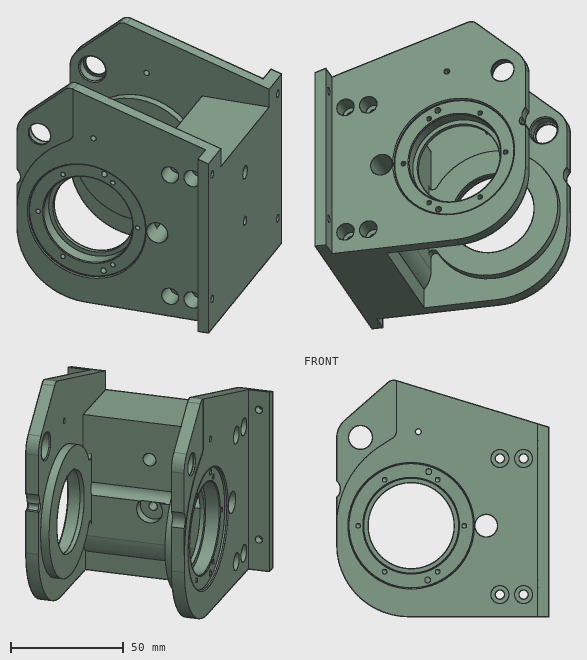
import cadquery as cq
import math

LENGTH = 94.0
HEIGHT = 104.8
INNER_WIDTH = 62.0
PLATE_THICKNESS = 6.0
INNER_Y = INNER_WIDTH / 2
OUTER_Y = INNER_Y + PLATE_THICKNESS
OVERCUT = 1.0

BOTTOM_CORNER_RADIUS = 32.0
NOSE_RADIUS = 10.5
PEAK_RADIUS = 4.0
NOSE_SLOPE = math.radians(41.2)
TOP_SLOPE = math.radians(17.0)
PEAK_CENTER_X = 25.4
PEAK_CENTER_Z = HEIGHT - PEAK_RADIUS
NOSE_LINE_Z = PEAK_CENTER_Z + PEAK_RADIUS / math.cos(NOSE_SLOPE)
TOP_LINE_Z = PEAK_CENTER_Z + PEAK_RADIUS / math.cos(TOP_SLOPE)
NOSE_CORNER_Z = NOSE_LINE_Z - PEAK_CENTER_X * math.tan(NOSE_SLOPE)
REAR_TOP_Z = TOP_LINE_Z - (LENGTH - PEAK_CENTER_X) * math.tan(TOP_SLOPE)
PEAK_OFFSET = (NOSE_LINE_Z - TOP_LINE_Z) / (math.tan(NOSE_SLOPE) + math.tan(TOP_SLOPE))
PEAK_X = PEAK_CENTER_X - PEAK_OFFSET
PEAK_Z = TOP_LINE_Z + PEAK_OFFSET * math.tan(TOP_SLOPE)

FLANGE_THICKNESS = 5.0
FLANGE_HOLE_DIAMETER = 3.4
FLANGE_HOLE_Y = 42.1
FLANGE_HOLE_Z = (14.7, 76.5)

BEARING_X = 33.0
BEARING_Z = 40.3
BOSS_DIAMETER = 59.9
BOSS_HEIGHT = 4.0
BOSS_FILLET = 2.0
BORE_DIAMETER = 38.0
SEAT_DIAMETER = 42.0
SEAT_CHAMFER = 0.4
LIP_THICKNESS = 2.0
RECESS_DIAMETER = 55.0
RECESS_DEPTH = 1.5
RECESS_CHAMFER = 0.5
SCREW_COUNT = 6
SCREW_CIRCLE_RADIUS = 23.5
SCREW_DIAMETER = 2.1
PIN_CIRCLE_RADIUS = 25.2
PIN_ANGLES = (72.0, -73.0)
PIN_DIAMETER = 2.6
BLIND_HOLE_DEPTH = 6.0
DRILL_TIP_HALF_ANGLE = math.radians(59.0)

PAD_HEIGHT = 0.2
PAD_EDGE_X = 26.5
PAD_CORNER_Z = 80.2
PAD_CORNER_RADIUS = 4.0
PAD_ARC_RADIUS = 41.9

NOSE_HOLE = (10.6, 79.4)
NOSE_HOLE_DIAMETER = 10.5
NOSE_SEAT_DIAMETER = 12.0
NOSE_SEAT_CHAMFER = 0.5
NOSE_LIP_THICKNESS = 1.0
SMALL_HOLE = (36.2, 82.0)
SMALL_HOLE_DIAMETER = 2.5
NOTCH = (-3.4, 56.6)
NOTCH_DIAMETER = 10.0
SIDE_NOTCH = (0.7, 54.0)
SIDE_NOTCH_DIAMETER = 3.0
SIDE_NOTCH_CHAMFER = 0.6

BLOCK_FRONT_X = 62.4
BLOCK_TOP_Z = 75.1
BLOCK_FOOT_X = 65.6
BLOCK_FOOT_Z = 8.9
BLOCK_ROUND_TOP_Z = 17.7
SHAFT_HOLE = (66.2, BEARING_Z)
SHAFT_HOLE_DIAMETER = 10.0
SIDE_BOLT_X = (72.3, 82.8)
SIDE_BOLT_Z = (9.9, 70.1)
SIDE_BOLT_DIAMETER = 4.0
SIDE_BOLT_HEAD_DIAMETER = 8.0
SIDE_BOLT_HEAD_DEPTH = 10.0
UPPER_HOLE_Z = 57.5
UPPER_HOLE_DIAMETER = 6.0
LOWER_HOLE_Z = 33.4
LOWER_HOLE_DIAMETER = 4.0
LOWER_HEAD_DIAMETER = 12.0
LOWER_HEAD_DEPTH = 5.0


def outline_at(y):
    """Sketch plane of the side outlines at a given Y; extruding goes toward -Y."""
    return cq.Workplane("XZ", origin=(0, y, 0))


def y_cylinder(center, diameter, y_start, y_end):
    """Cylinder along Y at an (x, z) center, between two Y positions."""
    low, high = sorted((y_start, y_end))
    return outline_at(high).center(*center).circle(diameter / 2).extrude(high - low)


def y_cone(center, diameter_start, diameter_end, y_start, y_end):
    """Truncated cone along Y at an (x, z) center."""
    x, z = center
    height = abs(y_end - y_start)
    direction = cq.Vector(0, math.copysign(1, y_end - y_start), 0)
    cone = cq.Solid.makeCone(
        diameter_start / 2, diameter_end / 2, height, cq.Vector(x, y_start, z), direction
    )
    return cq.Workplane(obj=cone)


def x_cylinder(y, z, diameter, x_start, x_end):
    """Cylinder along X at a (y, z) center."""
    return (
        cq.Workplane("YZ", origin=(x_start, y, z)).circle(diameter / 2).extrude(x_end - x_start)
    )


def plate_prism(y_outer, y_inner):
    """Full side plate outline between two Y positions, with its rounded corners."""
    low, high = sorted((y_outer, y_inner))
    corners = [(0, 0), (LENGTH, 0), (LENGTH, REAR_TOP_Z), (PEAK_X, PEAK_Z), (0, NOSE_CORNER_Z)]
    prism = outline_at(high).polyline(corners).close().extrude(high - low)
    rounded_corners = (
        (0, 0, BOTTOM_CORNER_RADIUS),
        (PEAK_X, PEAK_Z, PEAK_RADIUS),
        (0, NOSE_CORNER_Z, NOSE_RADIUS),
    )
    for x, z, radius in rounded_corners:
        prism = prism.edges(cq.NearestToPointSelector((x, (low + high) / 2, z))).fillet(radius)
    return prism


def flange(side):
    """Rear flange outside one plate, keeping the sloped top of the plate."""
    y_tip = side * LENGTH / 2
    thick = cq.Workplane("XY").box(FLANGE_THICKNESS, LENGTH, HEIGHT, centered=(False, True, False))
    thick = thick.translate((LENGTH - FLANGE_THICKNESS, 0, 0))
    return plate_prism(y_tip, side * INNER_Y).intersect(thick)


def block():
    """Rear block: flat front, rounded at the bottom down to a set-back foot."""
    drop = BLOCK_ROUND_TOP_Z - BLOCK_FOOT_Z
    setback = BLOCK_FOOT_X - BLOCK_FRONT_X
    radius = (drop**2 + setback**2) / (2 * setback)
    half_angle = math.asin(drop / radius) / 2
    arc_middle = (
        BLOCK_FRONT_X + radius * (1 - math.cos(half_angle)),
        BLOCK_ROUND_TOP_Z - radius * math.sin(half_angle),
    )
    return (
        outline_at(INNER_Y)
        .moveTo(BLOCK_FOOT_X, 0)
        .lineTo(LENGTH, 0)
        .lineTo(LENGTH, BLOCK_TOP_Z)
        .lineTo(BLOCK_FRONT_X, BLOCK_TOP_Z)
        .lineTo(BLOCK_FRONT_X, BLOCK_ROUND_TOP_Z)
        .threePointArc(arc_middle, (BLOCK_FOOT_X, BLOCK_FOOT_Z))
        .close()
        .extrude(INNER_WIDTH)
    )


def boss(side):
    """Round bearing boss inside one plate, blended into the front of the block above and below."""
    boss_y = side * (INNER_Y - BOSS_HEIGHT)
    plate_y = side * INNER_Y
    fillet_x = BLOCK_FRONT_X - BOSS_FILLET
    center_distance = BOSS_DIAMETER / 2 + BOSS_FILLET
    fillet_rise = math.sqrt(center_distance**2 - (fillet_x - BEARING_X) ** 2)
    web = (
        outline_at(max(boss_y, plate_y))
        .moveTo(BEARING_X, BEARING_Z)
        .lineTo(fillet_x, BEARING_Z + fillet_rise)
        .lineTo(BLOCK_FRONT_X, BEARING_Z + fillet_rise)
        .lineTo(BLOCK_FRONT_X, BEARING_Z - fillet_rise)
        .lineTo(fillet_x, BEARING_Z - fillet_rise)
        .close()
        .extrude(BOSS_HEIGHT)
    )
    for rise in (fillet_rise, -fillet_rise):
        center = (fillet_x, BEARING_Z + rise)
        web = web.cut(y_cylinder(center, 2 * BOSS_FILLET, boss_y, plate_y))
    return web.union(y_cylinder((BEARING_X, BEARING_Z), BOSS_DIAMETER, boss_y, plate_y))


def pad():
    """Thin raised pad covering the -Y plate except its nose."""
    dx = PAD_EDGE_X - PAD_ARC_RADIUS
    dz = PAD_CORNER_Z - BEARING_Z
    tangent_angle = math.atan2(dz, dx) + math.acos(PAD_ARC_RADIUS / math.hypot(dx, dz))
    middle_angle = (tangent_angle + math.pi) / 2

    def on_arc(angle):
        return (
            PAD_ARC_RADIUS * (1 + math.cos(angle)),
            BEARING_Z + PAD_ARC_RADIUS * math.sin(angle),
        )

    region = (
        outline_at(-OUTER_Y)
        .moveTo(0, 0)
        .lineTo(LENGTH, 0)
        .lineTo(LENGTH, HEIGHT)
        .lineTo(PAD_EDGE_X, HEIGHT)
        .lineTo(PAD_EDGE_X, PAD_CORNER_Z)
        .lineTo(*on_arc(tangent_angle))
        .threePointArc(on_arc(middle_angle), (0, BEARING_Z))
        .close()
        .extrude(PAD_HEIGHT)
        .edges(cq.NearestToPointSelector((PAD_EDGE_X, -OUTER_Y - PAD_HEIGHT / 2, PAD_CORNER_Z)))
        .fillet(PAD_CORNER_RADIUS)
    )
    return region.intersect(plate_prism(-OUTER_Y - PAD_HEIGHT, -OUTER_Y))


def around_bearing(radius, angle):
    """(x, z) point at a polar position, in degrees, around the bearing axis."""
    return (
        BEARING_X + radius * math.cos(math.radians(angle)),
        BEARING_Z + radius * math.sin(math.radians(angle)),
    )


def cut_bearing_seat(body, side, face_y):
    """Bore, bearing seat, cover recess and their small holes, entered from the outer face."""
    axis = (BEARING_X, BEARING_Z)
    boss_y = side * (INNER_Y - BOSS_HEIGHT)
    lip_y = boss_y + side * LIP_THICKNESS
    recess_y = face_y - side * RECESS_DEPTH

    body = body.cut(y_cylinder(axis, BORE_DIAMETER, boss_y, face_y))
    body = body.cut(y_cylinder(axis, SEAT_DIAMETER, lip_y, face_y))
    body = body.cut(y_cylinder(axis, RECESS_DIAMETER, recess_y, face_y))
    chamfers = (
        (SEAT_DIAMETER, SEAT_CHAMFER, recess_y),
        (RECESS_DIAMETER, RECESS_CHAMFER, face_y),
    )
    for diameter, size, y in chamfers:
        body = body.cut(y_cone(axis, diameter + 2 * size, diameter, y, y - side * size))

    floor_y = recess_y - side * BLIND_HOLE_DEPTH
    tip_length = SCREW_DIAMETER / 2 / math.tan(DRILL_TIP_HALF_ANGLE)
    for index in range(SCREW_COUNT):
        center = around_bearing(SCREW_CIRCLE_RADIUS, index * 360 / SCREW_COUNT)
        body = body.cut(y_cylinder(center, SCREW_DIAMETER, floor_y, recess_y))
        body = body.cut(y_cone(center, SCREW_DIAMETER, 0, floor_y, floor_y - side * tip_length))
    for angle in PIN_ANGLES:
        center = around_bearing(PIN_CIRCLE_RADIUS, angle)
        body = body.cut(y_cylinder(center, PIN_DIAMETER, floor_y, recess_y))
    return body


def cut_through_holes(body):
    """Holes and notches that pass along Y through both plates."""
    through = (
        (NOSE_HOLE, NOSE_HOLE_DIAMETER),
        (SMALL_HOLE, SMALL_HOLE_DIAMETER),
        (NOTCH, NOTCH_DIAMETER),
        (SHAFT_HOLE, SHAFT_HOLE_DIAMETER),
    )
    for center, diameter in through:
        body = body.cut(y_cylinder(center, diameter, -LENGTH / 2, LENGTH / 2))
    return body


def cut_nose_seats(body):
    """Wider seat of the nose hole, entered from the inner face of each plate."""
    wide = NOSE_SEAT_DIAMETER + 2 * NOSE_SEAT_CHAMFER
    for side in (-1, 1):
        inner_y = side * INNER_Y
        lip_y = side * (OUTER_Y - NOSE_LIP_THICKNESS)
        chamfer_y = inner_y + side * NOSE_SEAT_CHAMFER
        body = body.cut(y_cylinder(NOSE_HOLE, NOSE_SEAT_DIAMETER, inner_y, lip_y))
        body = body.cut(y_cone(NOSE_HOLE, wide, NOSE_SEAT_DIAMETER, inner_y, chamfer_y))
    return body


def cut_side_notch(body):
    """Second, smaller notch in the +Y plate, chamfered at its lower mouth and both plate faces."""
    wide = SIDE_NOTCH_DIAMETER + 2 * SIDE_NOTCH_CHAMFER
    body = body.cut(y_cylinder(SIDE_NOTCH, SIDE_NOTCH_DIAMETER, INNER_Y, OUTER_Y))
    mouth_drop = math.sqrt((SIDE_NOTCH_DIAMETER / 2) ** 2 - SIDE_NOTCH[0] ** 2)
    mouth_edge = (0, (INNER_Y + OUTER_Y) / 2, SIDE_NOTCH[1] - mouth_drop)
    body = body.edges(cq.NearestToPointSelector(mouth_edge)).chamfer(SIDE_NOTCH_CHAMFER)
    for y, inward in ((INNER_Y, 1), (OUTER_Y, -1)):
        y_end = y + inward * SIDE_NOTCH_CHAMFER
        body = body.cut(y_cone(SIDE_NOTCH, wide, SIDE_NOTCH_DIAMETER, y, y_end))
    return body


def cut_side_bolts(body):
    """Bolt holes along Y through the plates and block, counterbored from both outer faces."""
    face_y = OUTER_Y + PAD_HEIGHT
    for x in SIDE_BOLT_X:
        for z in SIDE_BOLT_Z:
            body = body.cut(y_cylinder((x, z), SIDE_BOLT_DIAMETER, -face_y, face_y))
            for side in (-1, 1):
                floor_y = side * (OUTER_Y - SIDE_BOLT_HEAD_DEPTH)
                body = body.cut(
                    y_cylinder((x, z), SIDE_BOLT_HEAD_DIAMETER, floor_y, side * face_y)
                )
    return body


def cut_rear_holes(body):
    """Holes along X through the flanges and the block."""
    flange_x = LENGTH - FLANGE_THICKNESS - OVERCUT
    rear_x = LENGTH + OVERCUT
    for side in (-1, 1):
        for z in FLANGE_HOLE_Z:
            body = body.cut(
                x_cylinder(side * FLANGE_HOLE_Y, z, FLANGE_HOLE_DIAMETER, flange_x, rear_x)
            )
    front_x = BLOCK_FRONT_X - OVERCUT
    head_x = BLOCK_FRONT_X + LOWER_HEAD_DEPTH
    body = body.cut(x_cylinder(0, UPPER_HOLE_Z, UPPER_HOLE_DIAMETER, front_x, rear_x))
    body = body.cut(x_cylinder(0, LOWER_HOLE_Z, LOWER_HOLE_DIAMETER, front_x, rear_x))
    return body.cut(x_cylinder(0, LOWER_HOLE_Z, LOWER_HEAD_DIAMETER, front_x, head_x))


part = block().union(pad())
for side in (-1, 1):
    part = part.union(plate_prism(side * OUTER_Y, side * INNER_Y))
    part = part.union(flange(side))
    part = part.union(boss(side))

part = cut_bearing_seat(part, -1, -OUTER_Y - PAD_HEIGHT)
part = cut_bearing_seat(part, 1, OUTER_Y)
part = cut_through_holes(part)
part = cut_nose_seats(part)
part = cut_side_notch(part)
part = cut_side_bolts(part)
part = cut_rear_holes(part)

result = part